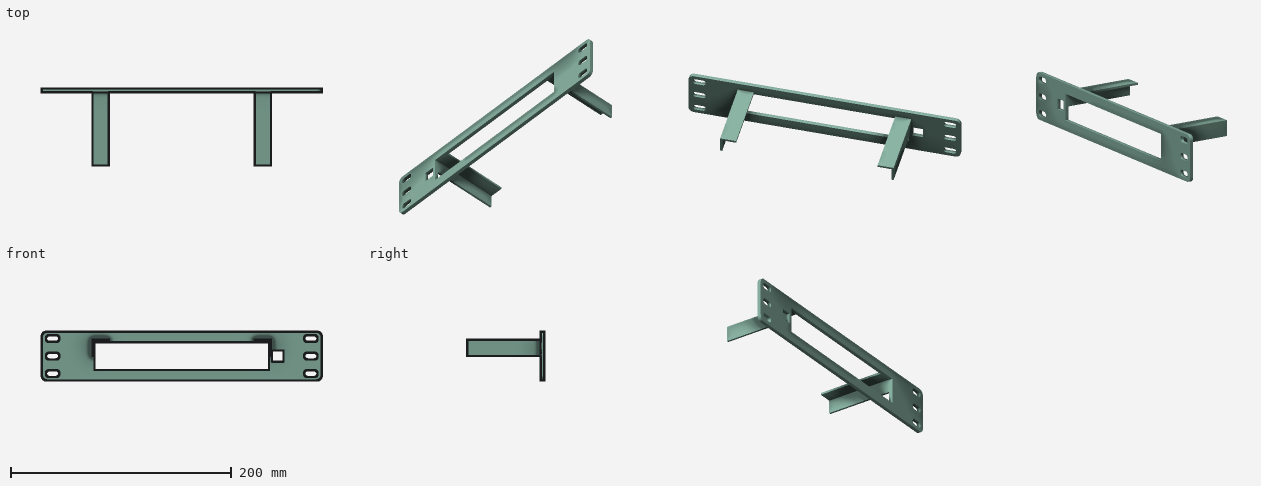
import cadquery as cq

plate_width = 254.0
plate_height = 44.5
plate_thickness = 3.5
corner_radius = 5.0

slot_length = 11.8
slot_height = 5.8
slot_corner_radius = 2.5
slot_center_x = 117.0
slot_pitch = 15.875

window_width = 158.0
window_height = 25.0
square_side = 10.0
square_center_x = 87.0

overall_depth = 70.0
arm_length = overall_depth - plate_thickness
arm_leg = 15.0
arm_wall = 2.0
arm_outer_x = window_width / 2 + arm_wall
arm_top_z = arm_leg


def make_plate():
    """Upright plate with rounded corners; its arm side lies on Y = 0."""
    plate = cq.Workplane("XY").box(
        plate_width, plate_thickness, plate_height, centered=(True, False, True)
    )
    return plate.edges("|Y").fillet(corner_radius)


def cut_slots(plate):
    """Cut the round-cornered mounting slots through both ends of the plate."""
    centers = [
        (side * slot_center_x, row * slot_pitch)
        for side in (-1, 1)
        for row in (-1, 0, 1)
    ]
    slots = (
        cq.Workplane("XZ")
        .pushPoints(centers)
        .rect(slot_length, slot_height)
        .extrude(-plate_thickness)
        .edges("|Y")
        .fillet(slot_corner_radius)
    )
    return plate.cut(slots)


def cut_openings(plate):
    """Cut the central window and the small square opening beside it."""
    window = cq.Workplane("XZ").rect(window_width, window_height).extrude(-plate_thickness)
    square = (
        cq.Workplane("XZ")
        .center(square_center_x, 0)
        .rect(square_side, square_side)
        .extrude(-plate_thickness)
    )
    return plate.cut(window).cut(square)


def make_arm(side):
    """Angle-section arm along -Y; side is -1 for the left arm and 1 for the right arm."""
    outer_x = side * arm_outer_x
    inner_x = side * (arm_outer_x - arm_wall)
    tip_x = side * (arm_outer_x - arm_leg)
    bottom_z = arm_top_z - arm_leg
    underside_z = arm_top_z - arm_wall
    section = [
        (outer_x, arm_top_z),
        (tip_x, arm_top_z),
        (tip_x, underside_z),
        (inner_x, underside_z),
        (inner_x, bottom_z),
        (outer_x, bottom_z),
    ]
    return cq.Workplane("XZ").polyline(section).close().extrude(arm_length)


result = cut_openings(cut_slots(make_plate()))
for arm_side in (-1, 1):
    result = result.union(make_arm(arm_side))